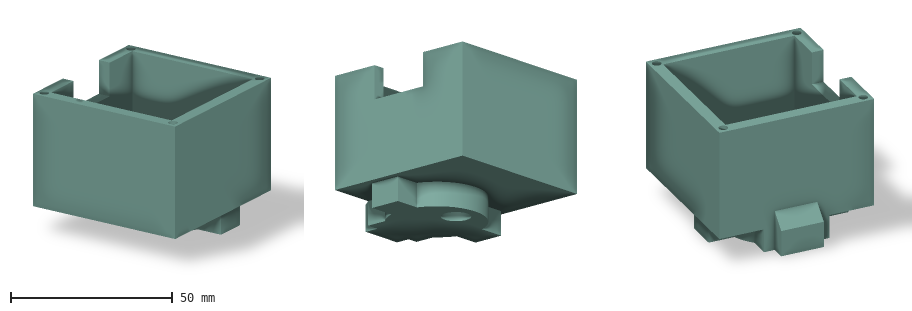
import cadquery as cq
import math

box_side = 53.0
total_height = 45.0
mount_height = 7.95
box_height = total_height - mount_height
cavity_side = 45.0
floor_thickness = 3.0

recess_diameter = 23.0
recess_depth = 1.5
center_hole_diameter = 9.5

screw_diameter = 3.0
screw_depth = 10.0
screw_spacing = 47.95

notch_width = 20.0
notch_depth = 11.1

disc_radius = 16.0
disc_y = 8.0
arm_length = 47.8
arm_width = 10.6
rear_block_start_y = 19.45

tab_width = 14.55
tab_x = 0.3
tab_depth = 57.75 - box_side
tab_outer_height = 8.8

box_back_y = box_side / 2
wall = (box_side - cavity_side) / 2


def make_box():
    box = cq.Workplane("XY").workplane(offset=mount_height).rect(box_side, box_side).extrude(box_height)
    floor_z = mount_height + floor_thickness
    cavity = (
        cq.Workplane("XY").workplane(offset=floor_z)
        .rect(cavity_side, cavity_side).extrude(box_height)
    )
    recess = (
        cq.Workplane("XY").workplane(offset=floor_z - recess_depth)
        .circle(recess_diameter / 2).extrude(recess_depth)
    )
    screw_holes = (
        cq.Workplane("XY").workplane(offset=total_height - screw_depth)
        .rect(screw_spacing, screw_spacing, forConstruction=True).vertices()
        .circle(screw_diameter / 2).extrude(screw_depth)
    )
    notch = (
        cq.Workplane("XY").workplane(offset=total_height - notch_depth)
        .center((wall - box_side) / 2, 0).rect(wall, notch_width).extrude(notch_depth)
    )
    return box.cut(cavity).cut(recess).cut(screw_holes).cut(notch)


def make_mount():
    base = cq.Workplane("XY").center(0, disc_y)
    disc = base.circle(disc_radius).extrude(mount_height)
    arm = base.rect(arm_length, arm_width).extrude(mount_height)
    block_half_width = math.sqrt(disc_radius**2 - (rear_block_start_y - disc_y) ** 2)
    rear_block = (
        cq.Workplane("XY").center(0, (disc_y + box_back_y) / 2)
        .rect(2 * block_half_width, box_back_y - disc_y).extrude(mount_height)
    )
    return disc.union(arm).union(rear_block)


def make_tab():
    return (
        cq.Workplane("YZ").workplane(offset=tab_x - tab_width / 2)
        .moveTo(box_back_y, 0)
        .lineTo(box_back_y + tab_depth, 0)
        .lineTo(box_back_y + tab_depth, tab_outer_height)
        .lineTo(box_back_y, tab_outer_height + tab_depth)
        .close().extrude(tab_width)
    )


center_hole = cq.Workplane("XY").circle(center_hole_diameter / 2).extrude(total_height)

result = make_box().union(make_mount()).union(make_tab()).cut(center_hole)